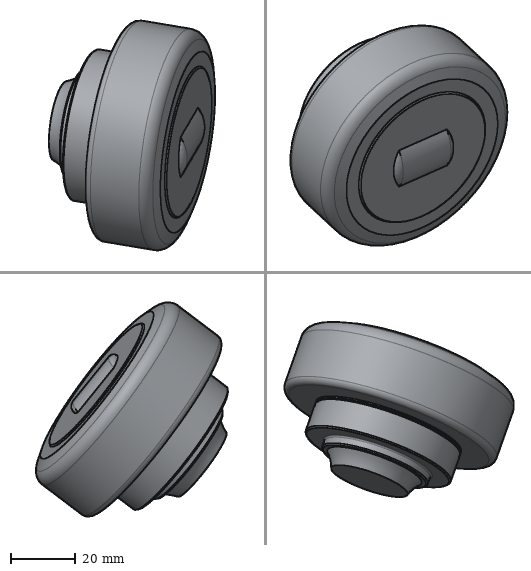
import cadquery as cq
import math


neck_face_x = 4.9
flange_face_x = 8.0
flange_back_x = 17.95
roller_face_x = 18.5
back_round_x = 36.4
roller_back_x = 41.5
disc_back_x = 42.0
overall_length = 44.1

nose_tip_radius = 12.6
nose_base_radius = 15.6
nose_arc_radius = 11.9
neck_radius = 35.0 / 2
flange_radius = 48.0 / 2
roller_radius = 35.05

edge_break = 0.5
front_round = 2.0
back_round = 8.0 / 2
back_taper = math.radians(20)

dome_half_width = 7.35
dome_straight_half = 9.05


def arc_midpoint(start, end, radius):
    """Middle of the arc from start to end that sags to the right of the direction of travel."""
    run = end[0] - start[0]
    rise = end[1] - start[1]
    chord = math.hypot(run, rise)
    sag = radius - math.sqrt(radius**2 - (chord / 2) ** 2)
    mid_x = (start[0] + end[0]) / 2 + sag * rise / chord
    mid_r = (start[1] + end[1]) / 2 - sag * run / chord
    return mid_x, mid_r


def revolve_about_axis(outline):
    """Turn a closed X-radius outline around the X axis."""
    return outline.close().revolve(360, (0, 0, 0), (1, 0, 0))


def make_stud():
    """Nose with a concave flank, neck with a root fillet, chamfered flange and its spacer disc."""
    nose_tip = (0, nose_tip_radius)
    nose_base = (neck_face_x, nose_base_radius)
    root_center_x = flange_face_x - edge_break
    root_center_r = neck_radius + edge_break
    root_mid = (
        root_center_x + edge_break * math.sin(math.pi / 4),
        root_center_r - edge_break * math.cos(math.pi / 4),
    )
    outline = (
        cq.Workplane("XY")
        .moveTo(0, 0)
        .lineTo(*nose_tip)
        .threePointArc(arc_midpoint(nose_tip, nose_base, nose_arc_radius), nose_base)
        .lineTo(neck_face_x, neck_radius - edge_break)
        .lineTo(neck_face_x + edge_break, neck_radius)
        .lineTo(root_center_x, neck_radius)
        .threePointArc(root_mid, (flange_face_x, root_center_r))
        .lineTo(flange_face_x, flange_radius - edge_break)
        .lineTo(flange_face_x + edge_break, flange_radius)
        .lineTo(flange_back_x - edge_break, flange_radius)
        .lineTo(flange_back_x, flange_radius - edge_break)
        .lineTo(flange_back_x, flange_radius)
        .lineTo(disc_back_x - edge_break, flange_radius)
        .lineTo(disc_back_x, flange_radius - edge_break)
        .lineTo(disc_back_x, 0)
    )
    return revolve_about_axis(outline)


def make_roller():
    """Roller body with a rounded front edge and a back edge rounded into a taper."""
    round_length = back_round * math.cos(back_taper)
    round_end_r = roller_radius - back_round * (1 - math.sin(back_taper))
    round_end_x = back_round_x + round_length
    taper_end_r = round_end_r - (roller_back_x - round_end_x) / math.tan(back_taper)
    mid_angle = (math.pi / 2 + back_taper) / 2
    back_mid = (
        back_round_x + back_round * math.cos(mid_angle),
        roller_radius - back_round * (1 - math.sin(mid_angle)),
    )
    front_mid = (
        roller_face_x + front_round * (1 - math.cos(math.pi / 4)),
        roller_radius - front_round * (1 - math.sin(math.pi / 4)),
    )
    outline = (
        cq.Workplane("XY")
        .moveTo(roller_face_x, 0)
        .lineTo(roller_face_x, roller_radius - front_round)
        .threePointArc(front_mid, (roller_face_x + front_round, roller_radius))
        .lineTo(back_round_x, roller_radius)
        .threePointArc(back_mid, (round_end_x, round_end_r))
        .lineTo(roller_back_x, taper_end_r)
        .lineTo(roller_back_x, 0)
    )
    return revolve_about_axis(outline)


def dome_section(y):
    """Circular segment standing on the back of the disc, in the XZ plane at the given Y."""
    return (
        cq.Workplane("XZ", origin=(disc_back_x, y, 0))
        .moveTo(0, -dome_half_width)
        .threePointArc((overall_length - disc_back_x, 0), (0, dome_half_width))
        .close()
    )


def make_dome():
    """Bar of segment section along Y; each end is the section turned about its own chord."""
    dome = dome_section(dome_straight_half).extrude(2 * dome_straight_half)
    for y in (-dome_straight_half, dome_straight_half):
        end = dome_section(y).revolve(360, (0, 0, 0), (0, 1, 0))
        dome = dome.union(end)
    return dome


result = make_stud().union(make_roller()).union(make_dome())